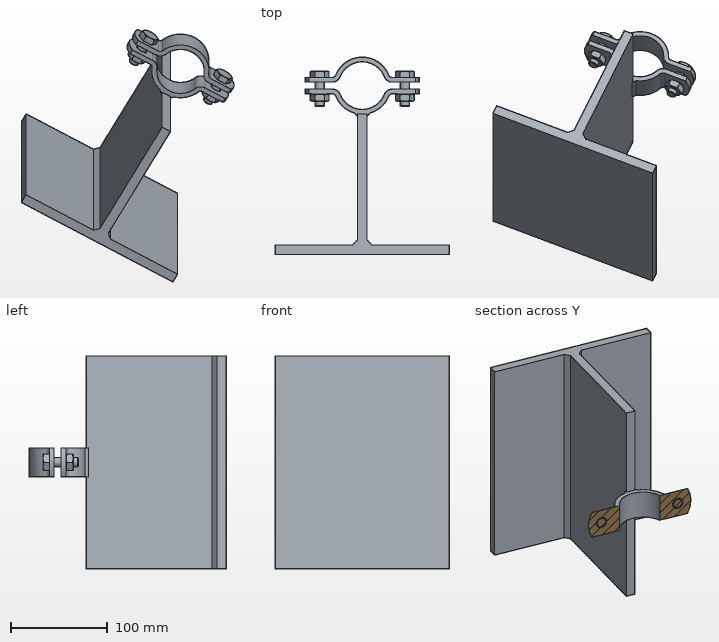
import cadquery as cq
import math

plate_width = 180.0
plate_thickness = 10.0
height = 220.0
web_thickness = 10.0
web_length = 135.0
base_weld_leg = 5.0

strap_thickness = 5.0
strap_height = 30.0
ring_outer_radius = 29.5
ring_inner_radius = ring_outer_radius - strap_thickness
ear_gap = 7.0
bend_inner_radius = 4.0
bend_outer_radius = bend_inner_radius + strap_thickness
ear_tip_x = 59.0
ear_end_radius = 30.0

clamp_weld_half_width = 8.0
clamp_weld_length = 2.5

bolt_x = 44.0
bolt_diameter = 10.0
bolt_hole_diameter = 11.5
bolt_tip_chamfer = 0.9
bolt_length = 30.0
hex_across_flats = 17.0
nut_face_diameter = 15.4
hex_bevel_angle = math.radians(30)
hex_sides = 6
head_thickness = 6.4
nut_thickness = 8.0

web_end_y = plate_thickness + web_length
clamp_y = web_end_y + ring_outer_radius
clamp_z = height / 2
ear_inner_y = ear_gap / 2
ear_outer_y = ear_inner_y + strap_thickness


def make_base():
    """T-shaped profile with 45 degree weld beads in the corners, extruded upwards."""
    plate = cq.Workplane("XY").box(plate_width, plate_thickness, height, centered=(True, False, False))
    web = cq.Workplane("XY").box(web_thickness, web_end_y, height, centered=(True, False, False))
    weld_root_x = web_thickness / 2
    weld_toe_x = weld_root_x + base_weld_leg
    weld = (
        cq.Workplane("XY")
        .polyline([
            (-weld_toe_x, plate_thickness),
            (weld_toe_x, plate_thickness),
            (weld_root_x, plate_thickness + base_weld_leg),
            (-weld_root_x, plate_thickness + base_weld_leg),
        ])
        .close()
        .extrude(height)
    )
    return plate.union(web).union(weld)


def make_strap():
    """Strap half on the +Y side, centred on the pipe axis at the origin."""
    bend_y = ear_outer_y + bend_inner_radius
    bend_distance = ring_outer_radius + bend_inner_radius
    bend_x = math.sqrt(bend_distance**2 - bend_y**2)
    bend_angle = math.atan2(bend_y, bend_x)
    bend_middle_angle = (bend_angle - math.pi / 2) / 2 - math.pi / 2

    def on_ring(radius):
        """Point where a ring arc of this radius meets the bend."""
        return (radius * math.cos(bend_angle), radius * math.sin(bend_angle))

    def on_bend(radius):
        """Middle point of the bend arc of this radius."""
        return (
            bend_x + radius * math.cos(bend_middle_angle),
            bend_y + radius * math.sin(bend_middle_angle),
        )

    def mirrored(point):
        """Same point on the -X side."""
        return (-point[0], point[1])

    ring_out = on_ring(ring_outer_radius)
    ring_in = on_ring(ring_inner_radius)
    bend_out = on_bend(bend_inner_radius)
    bend_in = on_bend(bend_outer_radius)
    profile = (
        cq.Workplane("XY")
        .moveTo(ear_tip_x, ear_inner_y)
        .lineTo(ear_tip_x, ear_outer_y)
        .lineTo(bend_x, ear_outer_y)
        .threePointArc(bend_out, ring_out)
        .threePointArc((0, ring_outer_radius), mirrored(ring_out))
        .threePointArc(mirrored(bend_out), (-bend_x, ear_outer_y))
        .lineTo(-ear_tip_x, ear_outer_y)
        .lineTo(-ear_tip_x, ear_inner_y)
        .lineTo(-bend_x, ear_inner_y)
        .threePointArc(mirrored(bend_in), mirrored(ring_in))
        .threePointArc((0, ring_inner_radius), ring_in)
        .threePointArc(bend_in, (bend_x, ear_inner_y))
        .close()
    )
    strap = profile.extrude(strap_height / 2, both=True)

    ear_corner_x = ear_tip_x - ear_end_radius + math.sqrt(ear_end_radius**2 - (strap_height / 2) ** 2)
    rounded_ends = (
        cq.Workplane("XZ")
        .moveTo(-ear_corner_x, -strap_height / 2)
        .lineTo(ear_corner_x, -strap_height / 2)
        .threePointArc((ear_tip_x, 0), (ear_corner_x, strap_height / 2))
        .lineTo(-ear_corner_x, strap_height / 2)
        .threePointArc((-ear_tip_x, 0), (-ear_corner_x, -strap_height / 2))
        .close()
        .extrude(-ring_outer_radius)
    )
    bolt_holes = (
        cq.Workplane("XZ")
        .pushPoints([(-bolt_x, 0), (bolt_x, 0)])
        .circle(bolt_hole_diameter / 2)
        .extrude(-ring_outer_radius)
    )
    return strap.intersect(rounded_ends).cut(bolt_holes)


def make_clamp_weld():
    """Weld bead tapering from the web sides to the strap half on the -Y side, relative to the pipe axis."""
    toe_y = -math.sqrt(ring_outer_radius**2 - clamp_weld_half_width**2)
    root_y = -ring_outer_radius - clamp_weld_length
    bead = (
        cq.Workplane("XY")
        .polyline([
            (-clamp_weld_half_width, toe_y),
            (-web_thickness / 2, root_y),
            (web_thickness / 2, root_y),
            (clamp_weld_half_width, toe_y),
        ])
        .close()
        .extrude(strap_height / 2, both=True)
    )
    pipe_space = cq.Workplane("XY").circle(ring_inner_radius).extrude(strap_height, both=True)
    return bead.cut(pipe_space)


def make_hex(thickness, face_diameter, bevel_both_ends):
    """Hexagon along +Z with corners on X and a conical bevel at the top, or at both ends."""
    corner_diameter = hex_across_flats / math.cos(math.pi / hex_sides)
    corner_radius = corner_diameter / 2
    face_radius = face_diameter / 2
    bevel_height = (corner_radius - face_radius) * math.tan(hex_bevel_angle)
    envelope = cq.Workplane("XZ")
    if bevel_both_ends:
        envelope = envelope.lineTo(face_radius, 0).lineTo(corner_radius, bevel_height)
    else:
        envelope = envelope.lineTo(corner_radius, 0)
    envelope = (
        envelope.lineTo(corner_radius, thickness - bevel_height)
        .lineTo(face_radius, thickness)
        .lineTo(0, thickness)
        .close()
        .revolve(360, (0, 0, 0), (0, 1, 0))
    )
    return cq.Workplane("XY").polygon(hex_sides, corner_diameter).extrude(thickness).intersect(envelope)


def make_bolt():
    """Bolt with its nut, pointing along +Z with the underside of the head on Z = 0."""
    head = make_hex(head_thickness, hex_across_flats, False).mirror("XY")
    shank = (
        cq.Workplane("XZ")
        .lineTo(bolt_diameter / 2, 0)
        .lineTo(bolt_diameter / 2, bolt_length - bolt_tip_chamfer)
        .lineTo(bolt_diameter / 2 - bolt_tip_chamfer, bolt_length)
        .lineTo(0, bolt_length)
        .close()
        .revolve(360, (0, 0, 0), (0, 1, 0))
    )
    nut_start = 2 * ear_outer_y
    nut = make_hex(nut_thickness, nut_face_diameter, True).translate((0, 0, nut_start))
    return head.union(nut).union(shank)


def make_clamp():
    """Both strap halves, the weld bead and the two bolts, in place at the web end."""
    strap = make_strap()
    clamp = strap.union(strap.mirror("XZ")).union(make_clamp_weld())
    bolt = make_bolt().rotate((0, 0, 0), (1, 0, 0), 90)
    for x in (-bolt_x, bolt_x):
        clamp = clamp.union(bolt.translate((x, ear_outer_y, 0)))
    return clamp.translate((0, clamp_y, clamp_z))


result = make_base().union(make_clamp())